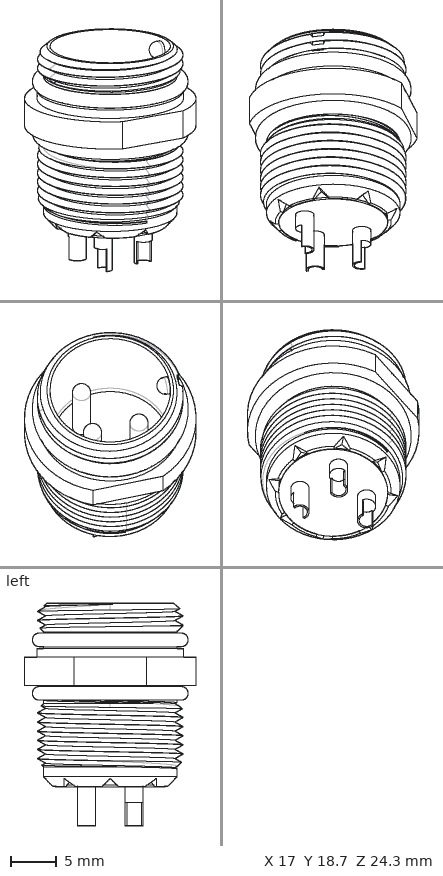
import cadquery as cq
import math


OVERALL_LENGTH = 24.3

HOUSING_LENGTH = 20.0
BARREL_RADIUS = 7.3
REAR_RADIUS = 6.32
REAR_CHAMFER_HEIGHT = 1.07
FRONT_RADIUS = 6.9
FLANGE_BOTTOM = 11.0
FLANGE_TOP = 14.1
FLANGE_DIAMETER = 18.74
FLANGE_WIDTH = 17.0
COLLAR_TOP = 15.05
COLLAR_RADIUS = 8.0

PITCH = 1.0
CREST_RADIUS = 7.95
ROOT_RADIUS = 7.07
THREAD_RUNOUT = CREST_RADIUS - BARREL_RADIUS
FRONT_CHAMFER_HEIGHT = 0.9
REAR_THREAD_BOTTOM = 2.15
REAR_THREAD_TOP = 9.05
FRONT_THREAD_BOTTOM = 16.86
GROOVE_OVERCUT = 0.012
GROOVE_FILL = 0.98

REAR_GROOVE_START_Z = 1.8
REAR_GROOVE_START_ANGLE = 0.0
REAR_GROOVE_TURNS = 8
FRONT_GROOVE_START_Z = 17.1
FRONT_GROOVE_START_ANGLE = -90.0
FRONT_GROOVE_TURNS = 3

SLOT_FLOOR_RADIUS = 7.6
SLOT_FLOOR_WIDTH = 1.25
SLOT_MOUTH_WIDTH = 1.7

NOTCH_COUNT = 8
NOTCH_DEPTH = 0.87

SECTION_RADIUS = 0.75
RING_RADIUS = FLANGE_WIDTH / 2 - SECTION_RADIUS
RING_HEIGHTS = (10.15, 16.0)

CAVITY_RADIUS = 6.55
CAVITY_FLOOR_RADIUS = 6.42
CAVITY_FLOOR = 9.0
CAVITY_TAPER_HEIGHT = 0.49
INSULATOR_REAR_RADIUS = 5.95
INSULATOR_STEP = 2.15
DISC_BOTTOM = -0.07
DISC_TOP = 0.15

KEY_RADIUS = 0.95
KEY_HEIGHT = 18.61
KEY_DOME_CENTRE = 6.2

PIN_RADIUS = 1.0
PIN_OFFSET = 2.6
PIN_BOTTOM = HOUSING_LENGTH - OVERALL_LENGTH
PIN_DOME_CENTRE = 16.25
CUP_TOP = -1.75
CUP_RADIUS = 0.8
CUP_OPENING_OFFSET = 0.15
PIN_CIRCLE_RADIUS = PIN_OFFSET * math.sqrt(2)
PIN_ANGLES = (45.0, -45.0, -135.0)
CUP_TURN = -45.0


def revolve_profile(points):
    """Solid of revolution about Z from (radius, height) points, drawn on the -X side."""
    outline = [(-radius, height) for radius, height in points]
    return cq.Workplane("XZ").polyline(outline).close().revolve(360, (0, 0, 0), (0, 1, 0))


def thread_groove(start_z, start_angle, turns, left_handed):
    """V groove rising along a helix, as a list with one cutter for each turn."""
    mouth_radius = CREST_RADIUS + GROOVE_OVERCUT
    half_mouth = GROOVE_FILL * PITCH / 2
    root_helix = cq.Wire.makeHelix(PITCH, PITCH, ROOT_RADIUS, lefthand=left_handed)
    mouth_helix = cq.Wire.makeHelix(PITCH, PITCH, mouth_radius, lefthand=left_handed)
    one_turn = (
        cq.Workplane("XZ")
        .moveTo(ROOT_RADIUS, 0)
        .lineTo(mouth_radius, half_mouth)
        .lineTo(mouth_radius, -half_mouth)
        .close()
        .sweep(cq.Workplane(root_helix), auxSpine=cq.Workplane(mouth_helix))
        .rotate((0, 0, 0), (0, 0, 1), start_angle)
    )
    return [one_turn.translate((0, 0, start_z + turn * PITCH)) for turn in range(turns)]


def make_o_ring(height):
    return cq.Workplane(cq.Solid.makeTorus(RING_RADIUS, SECTION_RADIUS, cq.Vector(0, 0, height)))


def make_barrel():
    """Stepped outer shape of the housing with its flatted flange."""
    barrel = revolve_profile([
        (0, 0),
        (REAR_RADIUS, 0),
        (BARREL_RADIUS, REAR_CHAMFER_HEIGHT),
        (BARREL_RADIUS, REAR_THREAD_BOTTOM),
        (CREST_RADIUS, REAR_THREAD_BOTTOM + THREAD_RUNOUT),
        (CREST_RADIUS, REAR_THREAD_TOP - THREAD_RUNOUT),
        (BARREL_RADIUS, REAR_THREAD_TOP),
        (BARREL_RADIUS, FRONT_THREAD_BOTTOM),
        (CREST_RADIUS, FRONT_THREAD_BOTTOM + THREAD_RUNOUT),
        (CREST_RADIUS, HOUSING_LENGTH - FRONT_CHAMFER_HEIGHT),
        (FRONT_RADIUS, HOUSING_LENGTH),
        (0, HOUSING_LENGTH),
    ])
    flange_height = FLANGE_TOP - FLANGE_BOTTOM
    flats = cq.Workplane("XY").box(
        FLANGE_WIDTH, FLANGE_DIAMETER, flange_height, centered=(True, True, False)
    )
    flange = cq.Workplane("XY").circle(FLANGE_DIAMETER / 2).extrude(flange_height).intersect(flats)
    collar = cq.Workplane("XY").workplane(offset=FLANGE_TOP).circle(COLLAR_RADIUS)
    collar = collar.extrude(COLLAR_TOP - FLANGE_TOP)
    return barrel.union(flange.translate((0, 0, FLANGE_BOTTOM))).union(collar)


def make_cavity():
    """Round cavity, tapered at its floor, with the stepped seat of the insulator below it."""
    return revolve_profile([
        (0, 0),
        (INSULATOR_REAR_RADIUS, 0),
        (INSULATOR_REAR_RADIUS, INSULATOR_STEP),
        (CAVITY_FLOOR_RADIUS, INSULATOR_STEP),
        (CAVITY_FLOOR_RADIUS, CAVITY_FLOOR),
        (CAVITY_RADIUS, CAVITY_FLOOR + CAVITY_TAPER_HEIGHT),
        (CAVITY_RADIUS, HOUSING_LENGTH),
        (0, HOUSING_LENGTH),
    ])


def make_slot():
    """Trapezoidal slot on the +Y side of the front thread."""
    return (
        cq.Workplane("XY")
        .workplane(offset=FRONT_THREAD_BOTTOM)
        .moveTo(-SLOT_FLOOR_WIDTH / 2, SLOT_FLOOR_RADIUS)
        .lineTo(SLOT_FLOOR_WIDTH / 2, SLOT_FLOOR_RADIUS)
        .lineTo(SLOT_MOUTH_WIDTH / 2, COLLAR_RADIUS)
        .lineTo(-SLOT_MOUTH_WIDTH / 2, COLLAR_RADIUS)
        .close()
        .extrude(HOUSING_LENGTH - FRONT_THREAD_BOTTOM)
    )


def make_notch(angle):
    """Right-angled V notch running radially across the rear face."""
    notch = (
        cq.Workplane("YZ")
        .moveTo(-NOTCH_DEPTH, 0)
        .lineTo(NOTCH_DEPTH, 0)
        .lineTo(0, NOTCH_DEPTH)
        .close()
        .extrude(BARREL_RADIUS)
    )
    return notch.rotate((0, 0, 0), (0, 0, 1), angle)


def make_key():
    """Domed peg whose outer end is trimmed to the cavity wall."""
    shank = (
        cq.Workplane("XZ", origin=(0, BARREL_RADIUS, KEY_HEIGHT))
        .circle(KEY_RADIUS)
        .extrude(BARREL_RADIUS - KEY_DOME_CENTRE)
    )
    dome = cq.Workplane("XY").sphere(KEY_RADIUS).translate((0, KEY_DOME_CENTRE, KEY_HEIGHT))
    return shank.union(dome).intersect(make_cavity())


def make_housing(o_rings):
    housing = make_barrel().cut(make_cavity())
    for index in range(NOTCH_COUNT):
        housing = housing.cut(make_notch(index * 360 / NOTCH_COUNT))
    for o_ring in o_rings:
        housing = housing.cut(o_ring)
    grooves = [
        *thread_groove(REAR_GROOVE_START_Z, REAR_GROOVE_START_ANGLE, REAR_GROOVE_TURNS, True),
        *thread_groove(FRONT_GROOVE_START_Z, FRONT_GROOVE_START_ANGLE, FRONT_GROOVE_TURNS, False),
    ]
    for cutter in [*grooves, make_slot()]:
        housing = housing.cut(cutter, clean=False)
    return housing


def make_pin(angle):
    """Pin whose lower end is an open half-cup for soldering."""
    cup_length = CUP_TOP - PIN_BOTTOM
    pin = cq.Workplane("XY").workplane(offset=PIN_BOTTOM).circle(PIN_RADIUS)
    pin = pin.extrude(PIN_DOME_CENTRE - PIN_BOTTOM)
    pin = pin.union(cq.Workplane("XY").sphere(PIN_RADIUS).translate((0, 0, PIN_DOME_CENTRE)))
    cup_bore = cq.Workplane("XY").workplane(offset=PIN_BOTTOM).circle(CUP_RADIUS).extrude(cup_length)
    open_side = cq.Workplane("XY").box(
        PIN_RADIUS, 2 * PIN_RADIUS, cup_length, centered=(False, True, False)
    )
    pin = pin.cut(cup_bore).cut(open_side.translate((CUP_OPENING_OFFSET, 0, PIN_BOTTOM)))
    x = PIN_CIRCLE_RADIUS * math.cos(math.radians(angle))
    y = PIN_CIRCLE_RADIUS * math.sin(math.radians(angle))
    return pin.rotate((0, 0, 0), (0, 0, 1), angle + CUP_TURN).translate((x, y, 0))


def pin_holes():
    """Holes that fit the pins through the insulator and the rear disc."""
    return (
        cq.Workplane("XY")
        .workplane(offset=DISC_BOTTOM)
        .polarArray(PIN_CIRCLE_RADIUS, PIN_ANGLES[-1], PIN_ANGLES[0] - PIN_ANGLES[-1], len(PIN_ANGLES))
        .circle(PIN_RADIUS)
        .extrude(CAVITY_FLOOR - DISC_BOTTOM)
    )


def make_insulator():
    body = revolve_profile([
        (0, DISC_TOP),
        (INSULATOR_REAR_RADIUS, DISC_TOP),
        (INSULATOR_REAR_RADIUS, INSULATOR_STEP),
        (CAVITY_FLOOR_RADIUS, INSULATOR_STEP),
        (CAVITY_FLOOR_RADIUS, CAVITY_FLOOR),
        (0, CAVITY_FLOOR),
    ])
    return body.cut(pin_holes())


def make_rear_disc():
    """Thin disc closing the rear of the insulator."""
    disc = cq.Workplane("XY").workplane(offset=DISC_BOTTOM).circle(INSULATOR_REAR_RADIUS)
    disc = disc.extrude(DISC_TOP - DISC_BOTTOM)
    return disc.cut(pin_holes())


o_rings = [make_o_ring(height) for height in RING_HEIGHTS]
key = make_key()
housing = make_housing(o_rings)
insulator = make_insulator()
rear_disc = make_rear_disc()
pins = [make_pin(angle) for angle in PIN_ANGLES]

result = cq.Compound.makeCompound([
    housing.solids().val(),
    *[o_ring.solids().val() for o_ring in o_rings],
    key.solids().val(),
    insulator.solids().val(),
    rear_disc.solids().val(),
    *[pin.solids().val() for pin in pins],
])